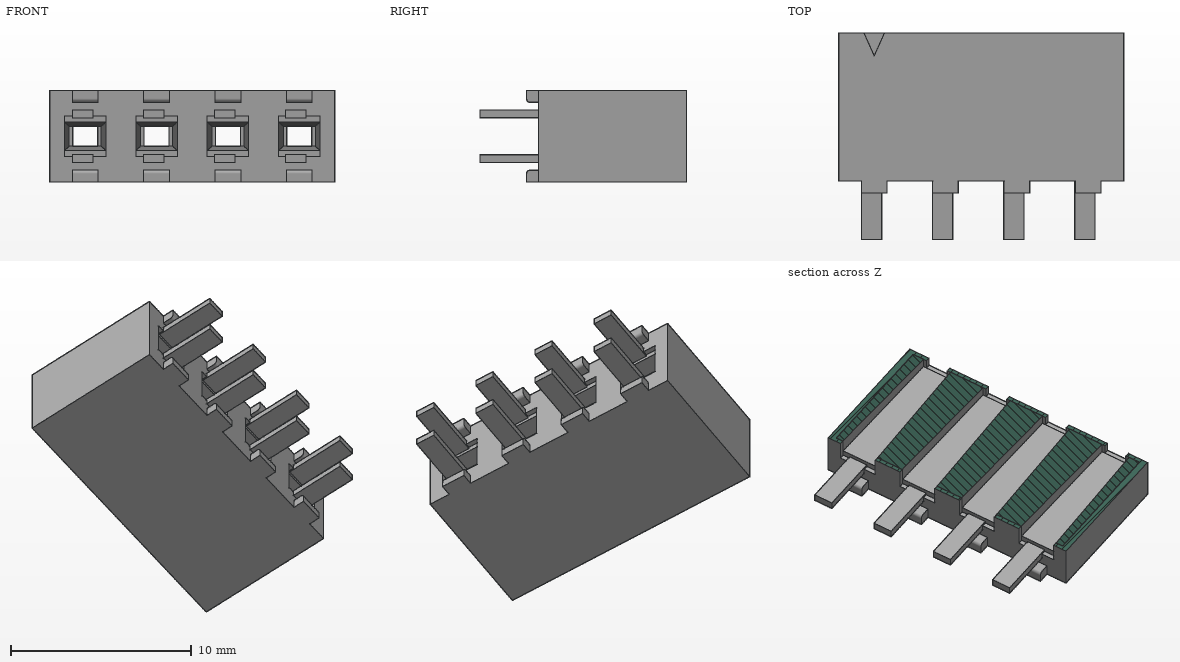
import cadquery as cq

housing_width = 15.85
housing_depth = 8.23
housing_height = 5.09

position_count = 4
pitch = 3.96
first_position_x = -pitch * (position_count - 1) / 2

lip_thickness = 0.27
mouth_width = 2.3
mouth_height = 2.27
back_wall_thickness = 0.27
window_width = 1.38

standoff_width = 1.43
standoff_length = 0.67
standoff_height = 0.67
standoff_fillet = 0.2

mark_width = 1.14
mark_length = 1.27
mark_depth = 0.13

end_wall_thickness = 0.41
block_width = housing_width - 2 * end_wall_thickness
block_depth = housing_depth - lip_thickness - back_wall_thickness
socket_front_height = 1.58
socket_back_width = 1.78
socket_back_height = 1.11

pin_width = 1.14
pin_thickness = 0.45
pin_pitch = 3.95
pin_length = 3.25
pin_center_z = 1.24
first_pin_x = first_position_x - standoff_width / 2 + pin_width / 2
block_height = 2 * pin_center_z + pin_thickness

positions = [first_position_x + i * pitch for i in range(position_count)]
pin_positions = [first_pin_x + i * pin_pitch for i in range(position_count)]
sides = (1, -1)


def box_at(width, depth, height, x, y, z=0.0):
    """Box centred on x and z that runs from y toward +Y."""
    return cq.Workplane("XY").box(width, depth, height, centered=(True, False, True)).translate((x, y, z))


def make_standoff(x, side):
    """Standoff at the upper (side 1) or lower (side -1) edge, its inner front edge rounded."""
    z = side * (housing_height - standoff_height) / 2
    block = box_at(standoff_width, standoff_length, standoff_height, x, -standoff_length, z)
    inner_edge = "<Z" if side > 0 else ">Z"
    return block.faces("<Y").edges(inner_edge).fillet(standoff_fillet)


def make_position_mark():
    """Wedge that cuts the triangular mark, pointing toward -Y."""
    half_width = mark_width / 2
    return (
        cq.Workplane("XY", origin=(first_position_x, housing_depth, housing_height / 2))
        .polyline([(-half_width, 0), (half_width, 0), (0, -mark_length)])
        .close()
        .extrude(-mark_depth)
    )


def make_block_blank():
    """Outer shape of the contact block, which is also the chamber in the housing."""
    return box_at(block_width, block_depth, block_height, 0, lip_thickness)


def make_socket(x):
    """Tapered passage through the contact block, narrowing toward +Y."""
    return (
        cq.Workplane("XZ", origin=(x, lip_thickness, 0))
        .rect(mouth_width, socket_front_height)
        .workplane(offset=-block_depth)
        .rect(socket_back_width, socket_back_height)
        .loft(ruled=True)
    )


def make_pin(x, side):
    """Pin from the contact block out through the solder face, above (1) or below (-1) the socket."""
    return box_at(pin_width, pin_length + lip_thickness, pin_thickness, x, -pin_length, side * pin_center_z)


def make_pins():
    """All pins, which also cut their own slots in the housing."""
    return [make_pin(x, side) for x in pin_positions for side in sides]


def make_housing():
    """Hollow housing with its openings, standoffs and mark."""
    body = box_at(housing_width, housing_depth, housing_height, 0, 0)
    body = body.cut(make_block_blank()).cut(make_position_mark())
    back_wall_y = housing_depth - back_wall_thickness
    for x in positions:
        body = body.cut(box_at(mouth_width, lip_thickness, mouth_height, x, 0))
        body = body.cut(box_at(window_width, back_wall_thickness, socket_back_height, x, back_wall_y))
        for side in sides:
            body = body.union(make_standoff(x, side))
    for pin in make_pins():
        body = body.cut(pin)
    return body


def make_contact_insert():
    """Contact block and its pins, one solid."""
    insert = make_block_blank()
    for x in positions:
        insert = insert.cut(make_socket(x))
    for pin in make_pins():
        insert = insert.union(pin)
    return insert


housing = make_housing().solids()
contact_insert = make_contact_insert().solids()

result = cq.Compound.makeCompound([housing.val(), contact_insert.val()])